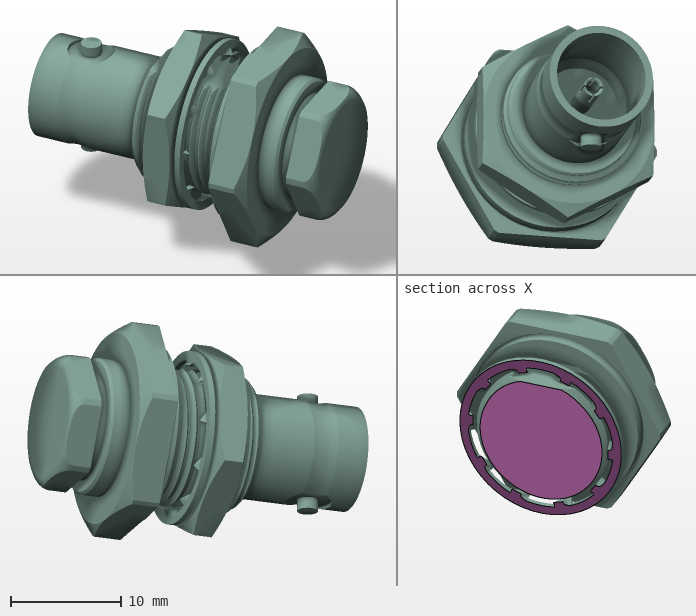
import cadquery as cq
import math


BARREL_END = 10.83
NUT_FRONT = 12.9
NUT_BACK = 15.6
WASHER_FRONT = 16.05
WASHER_THICKNESS = 0.53
THREAD_END = 18.5
COLLAR_FRONT = 19.5
GASKET_FRONT = 19.65
HEX_FRONT = 20.4
HEX_CHAMFER_START = 22.95
HEX_BACK = 23.68
BOSS_BACK = 25.45
REAR_HEX_FRONT = 26.43
TOTAL_LENGTH = 29.2

BARREL_DIAMETER = 9.6
GROOVE_FRONT = 2.92
GROOVE_BACK = 5.23
GROOVE_DEPTH = 0.15
STUD_X = (GROOVE_FRONT + GROOVE_BACK) / 2
STUD_DIAMETER = 1.9
STUD_TIP_Z = 5.5
SPOTFACE_DIAMETER = 4.3
SPOTFACE_Z = 4.45

BORE_DIAMETER = 8.25
BORE_FLOOR_DIAMETER = 7.12
BORE_CONE_START = 7.6
BORE_FLOOR = 8.75
CONTACT_TIP = 3.12
CONTACT_DIAMETER = 1.78
CONTACT_BORE_DIAMETER = 1.25
CONTACT_BORE_DEPTH = 2.92
CONTACT_CHAMFER = 0.15
CONTACT_SLOT_WIDTH = 0.18
CONTACT_SLOT_LENGTH = 1.75
CONTACT_COLLAR_DIAMETER = 2.55
CONTACT_COLLAR_LENGTH = 0.3

SHANK_DIAMETER = 11.5
THREAD_ROOT_DIAMETER = 11.68
THREAD_CREST_DIAMETER = 12.67
THREAD_PITCH = 0.9
THREAD_START = 9.8
THREAD_CREST_WIDTH = 0.05
THREAD_HALF_ANGLE = 30.0
THREAD_EMBED = 0.12
SHANK_FLAT_Z = 5.45

COLLAR_DIAMETER = 12.7
HEX_FLATS = 17.5
HEX_CORNER_DIAMETER = 19.9
HEX_BACK_FACE_DIAMETER = 17.45
RECESS_DIAMETER = 16.7
RECESS_DEPTH = 0.4
BOSS_DIAMETER = 12.5
BOSS_CHAMFER = 0.23
NECK_DIAMETER = 10.0
REAR_HEX_FLATS = 11.13
REAR_HEX_CORNER_DIAMETER = 12.5
REAR_HEX_ROUND = 1.1

NUT_FLATS = 15.88
NUT_MOUTH_DIAMETER = 12.7
NUT_CHAMFER_LENGTH = 0.47
WASHER_DIAMETER = 15.88
WASHER_INNER_DIAMETER = 14.2
TOOTH_TIP_DIAMETER = 13.17
TOOTH_COUNT = 10
TOOTH_LENGTH = 1.78
TOOTH_TWIST = 35.0
TOOTH_FOOT = 0.18
GASKET_DIAMETER = 16.2

HEX_CORNER_RATIO = 2 / math.sqrt(3)
OVERRUN = 0.3


def rod(start, end, diameter):
    """Cylinder on the X axis between two stations."""
    return cq.Workplane("YZ", origin=(start, 0, 0)).circle(diameter / 2).extrude(end - start)


def revolved(points):
    """Solid of revolution about X from (x, radius) points."""
    outline = cq.Workplane("XY").polyline(points).close()
    return outline.revolve(360, (0, 0, 0), (1, 0, 0))


def hex_bar(start, end, flats, turn):
    """Hexagonal bar; turn = 0 puts corners at +-Y, turn = 90 puts them at +-Z."""
    bar = cq.Workplane("YZ", origin=(start, 0, 0)).polygon(6, flats * HEX_CORNER_RATIO)
    return bar.extrude(end - start).rotate((0, 0, 0), (1, 0, 0), turn)



def barrel():
    """Tube with a shallow arc groove, flat spots and two bayonet studs at +-Z."""
    radius = BARREL_DIAMETER / 2
    profile = (
        cq.Workplane("XY")
        .lineTo(0, radius)
        .lineTo(GROOVE_FRONT, radius)
        .threePointArc((STUD_X, radius - GROOVE_DEPTH), (GROOVE_BACK, radius))
        .lineTo(BARREL_END, radius)
        .lineTo(BARREL_END, 0)
        .close()
    )
    tube = profile.revolve(360, (0, 0, 0), (1, 0, 0))
    for turn in (0, 180):
        base = cq.Workplane("XY", origin=(STUD_X, 0, SPOTFACE_Z))
        spotface = base.circle(SPOTFACE_DIAMETER / 2).extrude(radius)
        stud = base.circle(STUD_DIAMETER / 2).extrude(STUD_TIP_Z - SPOTFACE_Z)
        tube = tube.cut(spotface.rotate((0, 0, 0), (1, 0, 0), turn))
        tube = tube.union(stud.rotate((0, 0, 0), (1, 0, 0), turn))
    return tube


def mating_bore():
    """Straight bore that narrows in a cone to its floor."""
    mouth = BORE_DIAMETER / 2
    floor = BORE_FLOOR_DIAMETER / 2
    return revolved([(0, 0), (0, mouth), (BORE_CONE_START, mouth), (BORE_FLOOR, floor), (BORE_FLOOR, 0)])


def contact():
    """Slotted centre socket standing on a low collar on the bore floor."""
    socket = rod(CONTACT_TIP, BORE_FLOOR + OVERRUN, CONTACT_DIAMETER)
    collar = rod(BORE_FLOOR - CONTACT_COLLAR_LENGTH, BORE_FLOOR + OVERRUN, CONTACT_COLLAR_DIAMETER)
    hole_end = CONTACT_TIP + CONTACT_BORE_DEPTH
    hole_radius = CONTACT_BORE_DIAMETER / 2
    hole = revolved([
        (CONTACT_TIP, 0),
        (CONTACT_TIP, hole_radius + CONTACT_CHAMFER),
        (CONTACT_TIP + CONTACT_CHAMFER, hole_radius),
        (hole_end, hole_radius),
        (hole_end, 0),
    ])
    socket = socket.union(collar).cut(hole)
    slot = cq.Workplane("XY").box(
        CONTACT_SLOT_LENGTH, CONTACT_SLOT_WIDTH, CONTACT_DIAMETER + OVERRUN, centered=(False, True, True)
    ).translate((CONTACT_TIP, 0, 0))
    for turn in (0, 90):
        socket = socket.cut(slot.rotate((0, 0, 0), (1, 0, 0), turn))
    return socket


def thread_ridge():
    """Right-hand helical ridge, trimmed at 45 degrees at both ends of the threaded length."""
    crest = THREAD_CREST_DIAMETER / 2
    inner = THREAD_ROOT_DIAMETER / 2 - THREAD_EMBED
    half_crest = THREAD_CREST_WIDTH / 2
    half_base = half_crest + (crest - inner) * math.tan(math.radians(THREAD_HALF_ANGLE))
    turns = math.ceil((THREAD_END - THREAD_START) / THREAD_PITCH)
    path = cq.Workplane(cq.Wire.makeHelix(THREAD_PITCH, turns * THREAD_PITCH, inner))
    section = cq.Workplane("XZ").polyline([
        (inner, -half_base), (crest, -half_crest), (crest, half_crest), (inner, half_base)
    ]).close()
    ridge = section.sweep(path, isFrenet=True)
    ridge = ridge.rotate((0, 0, 0), (0, 1, 0), 90).translate((THREAD_START, 0, 0))
    lead_in = crest + OVERRUN - SHANK_DIAMETER / 2
    envelope = revolved([
        (BARREL_END, 0),
        (BARREL_END, SHANK_DIAMETER / 2),
        (BARREL_END + lead_in, crest + OVERRUN),
        (THREAD_END - lead_in, crest + OVERRUN),
        (THREAD_END, SHANK_DIAMETER / 2),
        (THREAD_END, 0),
    ])
    return ridge.intersect(envelope)


def threaded_rod():
    """Shank core with its full thread, before the flat is cut."""
    core = rod(BARREL_END, COLLAR_FRONT, SHANK_DIAMETER)
    lead_in = (THREAD_ROOT_DIAMETER - SHANK_DIAMETER) / 2
    root = rod(BARREL_END, THREAD_END, THREAD_ROOT_DIAMETER).faces("<X").chamfer(lead_in)
    return core.union(root).union(thread_ridge())


def shank():
    """Threaded shank and gasket collar, with one long flat on the +Z side."""
    collar = rod(COLLAR_FRONT, HEX_FRONT + RECESS_DEPTH, COLLAR_DIAMETER)
    flat = cq.Workplane("XY").box(
        HEX_FRONT - BARREL_END, COLLAR_DIAMETER, COLLAR_DIAMETER, centered=(False, True, False)
    ).translate((BARREL_END, 0, SHANK_FLAT_Z))
    return threaded_rod().union(collar).cut(flat)


def fixed_hex():
    """Hexagon with trimmed corners, a conical back edge and a recess for the gasket."""
    corner = HEX_CORNER_DIAMETER / 2
    trim = revolved([
        (HEX_FRONT, 0),
        (HEX_FRONT, corner),
        (HEX_CHAMFER_START, corner),
        (HEX_BACK, HEX_BACK_FACE_DIAMETER / 2),
        (HEX_BACK, 0),
    ])
    hexagon = hex_bar(HEX_FRONT, HEX_BACK, HEX_FLATS, 0).intersect(trim)
    recess = rod(HEX_FRONT, HEX_FRONT + RECESS_DEPTH, RECESS_DIAMETER)
    return hexagon.cut(recess)


def rear_end():
    """Chamfered boss, neck and rear hexagon with a rounded end."""
    boss = rod(HEX_BACK, BOSS_BACK, BOSS_DIAMETER).faces(">X").chamfer(BOSS_CHAMFER)
    neck = rod(BOSS_BACK, REAR_HEX_FRONT, NECK_DIAMETER)
    trim = rod(REAR_HEX_FRONT, TOTAL_LENGTH, REAR_HEX_CORNER_DIAMETER)
    trim = trim.faces(">X").edges().fillet(REAR_HEX_ROUND)
    hexagon = hex_bar(REAR_HEX_FRONT, TOTAL_LENGTH, REAR_HEX_FLATS, 0).intersect(trim)
    return boss.union(neck).union(hexagon)


def make_connector_body():
    """One-piece jack with its bore, contact, threaded shank and hexagons."""
    tube = barrel().cut(mating_bore()).union(contact())
    return tube.union(shank()).union(fixed_hex()).union(rear_end())



def make_nut():
    """Hexagon nut, corners at +-Z, chamfered on both faces, with a countersunk threaded hole."""
    face = NUT_FLATS / 2
    corner = face * HEX_CORNER_RATIO
    trim = revolved([
        (NUT_FRONT, 0),
        (NUT_FRONT, face),
        (NUT_FRONT + NUT_CHAMFER_LENGTH, corner),
        (NUT_BACK - NUT_CHAMFER_LENGTH, corner),
        (NUT_BACK, face),
        (NUT_BACK, 0),
    ])
    hexagon = hex_bar(NUT_FRONT, NUT_BACK, NUT_FLATS, 90).intersect(trim)
    mouth = NUT_MOUTH_DIAMETER / 2
    hole = THREAD_ROOT_DIAMETER / 2
    countersunk_hole = revolved([
        (NUT_FRONT, 0),
        (NUT_FRONT, mouth),
        (NUT_FRONT + mouth - hole, hole),
        (NUT_BACK - mouth + hole, hole),
        (NUT_BACK, mouth),
        (NUT_BACK, 0),
    ])
    return hexagon.cut(countersunk_hole).cut(threaded_rod())


def make_lock_washer():
    """Flat ring with inward teeth that twist progressively towards their tips."""
    end = WASHER_FRONT + WASHER_THICKNESS
    ring = rod(WASHER_FRONT, end, WASHER_DIAMETER).cut(rod(WASHER_FRONT, end, WASHER_INNER_DIAMETER))
    tip = TOOTH_TIP_DIAMETER / 2
    root = WASHER_INNER_DIAMETER / 2
    foot = cq.Workplane("XY", origin=(WASHER_FRONT + WASHER_THICKNESS / 2, 0, root))
    foot = foot.rect(WASHER_THICKNESS, TOOTH_LENGTH).extrude(TOOTH_FOOT)
    tooth = (
        foot.faces("<Z").wires().toPending()
        .workplane(offset=root - tip)
        .transformed(rotate=(0, 0, TOOTH_TWIST))
        .rect(WASHER_THICKNESS, TOOTH_LENGTH)
        .loft(ruled=True)
    )
    for index in range(TOOTH_COUNT):
        turn = 90 + index * 360 / TOOTH_COUNT
        ring = ring.union(tooth.rotate((0, 0, 0), (1, 0, 0), turn))
    return ring


def make_gasket():
    """Flat ring on the body collar, seated in the recess of the fixed hexagon."""
    seat = HEX_FRONT + RECESS_DEPTH
    return rod(GASKET_FRONT, seat, GASKET_DIAMETER).cut(rod(GASKET_FRONT, seat, COLLAR_DIAMETER))


connector_body = make_connector_body()
nut = make_nut()
lock_washer = make_lock_washer()
gasket = make_gasket()

result = cq.Compound.makeCompound([
    connector_body.solids().val(),
    nut.solids().val(),
    lock_washer.solids().val(),
    gasket.solids().val(),
])